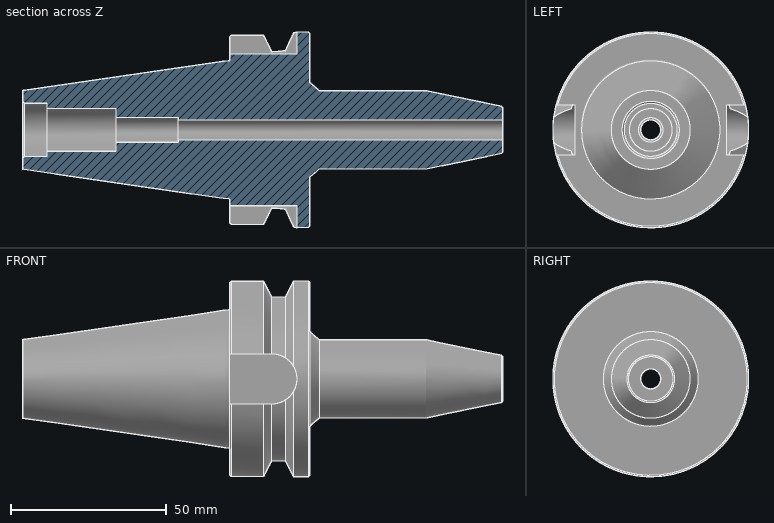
import cadquery as cq


taper_length = 65.4
gauge_diameter = 44.45
taper_ratio = 7 / 24
shank_end = -taper_length
shank_end_diameter = gauge_diameter - taper_ratio * taper_length
gauge_land_length = 0.8
root_fillet = 0.4

flange_back = gauge_land_length + root_fillet
flange_front = 27.0
flange_diameter = 62.99
flange_chamfer = 0.5
groove_bottom_diameter = 52.9
groove_center = 16.9
groove_bottom_width = 4.4
groove_flank_run = 2.6

nose_length = 89.03
neck_diameter = 25.27
neck_end = 64.4
shoulder_cone_length = 3.0
shoulder_cone_height = 2.6
tip_diameter = 15.3
tip_chamfer = 0.5

entry_diameter = 18.4
pilot_diameter = 17.02
entry_chamfer = (entry_diameter - pilot_diameter) / 2
pilot_depth = 7.8
thread_diameter = 13.72
thread_depth = 30.0
coolant_diameter = 7.87
coolant_depth = 50.0
through_diameter = 6.35

slot_width = 16.1
slot_end = 22.8
slot_floor_distance = 24.4


def make_body():
    """Revolve the outer profile about the X axis."""
    flange_radius = flange_diameter / 2
    gauge_radius = gauge_diameter / 2
    groove_radius = groove_bottom_diameter / 2
    neck_radius = neck_diameter / 2
    tip_radius = tip_diameter / 2
    groove_back = groove_center - groove_bottom_width / 2
    groove_front = groove_center + groove_bottom_width / 2
    profile = (
        cq.Workplane("XY")
        .moveTo(shank_end, 0)
        .lineTo(shank_end, shank_end_diameter / 2)
        .lineTo(0, gauge_radius)
        .lineTo(gauge_land_length, gauge_radius)
        .radiusArc((flange_back, gauge_radius + root_fillet), -root_fillet)
        .lineTo(flange_back, flange_radius - flange_chamfer)
        .lineTo(flange_back + flange_chamfer, flange_radius)
        .lineTo(groove_back - groove_flank_run, flange_radius)
        .lineTo(groove_back, groove_radius)
        .lineTo(groove_front, groove_radius)
        .lineTo(groove_front + groove_flank_run, flange_radius)
        .lineTo(flange_front - flange_chamfer, flange_radius)
        .lineTo(flange_front, flange_radius - flange_chamfer)
        .lineTo(flange_front, neck_radius + shoulder_cone_height)
        .lineTo(flange_front + shoulder_cone_length, neck_radius)
        .lineTo(neck_end, neck_radius)
        .lineTo(nose_length - tip_chamfer, tip_radius)
        .lineTo(nose_length, tip_radius - tip_chamfer)
        .lineTo(nose_length, 0)
        .close()
    )
    return profile.revolve(360, (0, 0, 0), (1, 0, 0))


def make_bore():
    """Revolve the stepped through bore, narrowing from the shank to the nose."""
    profile = (
        cq.Workplane("XY")
        .moveTo(shank_end, 0)
        .lineTo(shank_end, entry_diameter / 2)
        .lineTo(shank_end + entry_chamfer, pilot_diameter / 2)
        .lineTo(shank_end + pilot_depth, pilot_diameter / 2)
        .lineTo(shank_end + pilot_depth, thread_diameter / 2)
        .lineTo(shank_end + thread_depth, thread_diameter / 2)
        .lineTo(shank_end + thread_depth, coolant_diameter / 2)
        .lineTo(shank_end + coolant_depth, coolant_diameter / 2)
        .lineTo(shank_end + coolant_depth, through_diameter / 2)
        .lineTo(nose_length, through_diameter / 2)
        .lineTo(nose_length, 0)
        .close()
    )
    return profile.revolve(360, (0, 0, 0), (1, 0, 0))


def make_drive_slot(side):
    """Round-ended slot open to the back of the flange, on the +Y or -Y side."""
    slot_radius = slot_width / 2
    arc_start = slot_end - slot_radius
    return (
        cq.Workplane("XZ")
        .workplane(offset=-side * slot_floor_distance)
        .moveTo(0, -slot_radius)
        .lineTo(arc_start, -slot_radius)
        .threePointArc((slot_end, 0), (arc_start, slot_radius))
        .lineTo(0, slot_radius)
        .close()
        .extrude(-side * flange_diameter / 2)
    )


result = make_body().cut(make_bore())
for side in (1, -1):
    result = result.cut(make_drive_slot(side))